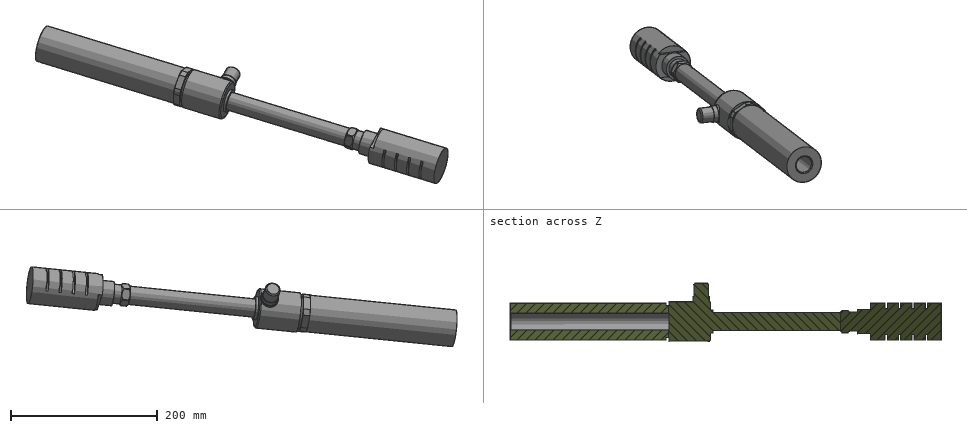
import cadquery as cq
import math

HEX_START = 203.0
HEX_END = 212.5
HOUSING_START = 216.0
HOUSING_END = 273.0
COLLAR_END = 277.0
ROD_END = 450.0
SWIVEL_START = 473.0
GRIP_START = 490.5
GRIP_END = 587.5

BARREL_DIAMETER = 50.5
BORE_DIAMETER = 22.5
BORE_MOUTH_DIAMETER = 25.0
BORE_CHAMFER_LENGTH = 1.0
HEX_WIDTH = BARREL_DIAMETER
NECK_DIAMETER = 44.0

HOUSING_DIAMETER = 54.0
HOUSING_CHAMFER = 2.0
COLLAR_DIAMETER = 32.0
ROD_DIAMETER = 25.0

OVERALL_DEPTH = 79.5
PORT_X = 260.0
PORT_DIAMETER = 20.5
PORT_TOP = OVERALL_DEPTH - HOUSING_DIAMETER / 2
PORT_CHAMFER = 2.0
PORT_RING_DIAMETER = 22.5
PORT_RING_TOP = 34.0
PORT_SEAT_DIAMETER = 24.0
PORT_SEAT_TOP = 27.5

NUT_WIDTH = 27.0
NUT_LENGTH = 12.5
NUT_END = ROD_END + NUT_LENGTH
NUT_CORNER_DIAMETER = 30.5
NUT_CHAMFER = 2.5
STEM_DIAMETER = 26.5
SWIVEL_DIAMETER = 33.5

GRIP_DIAMETER = BARREL_DIAMETER
FLAT_LENGTH = 5.0
FLAT_SPACING = 33.0
SLOT_COUNT = 4
FIRST_SLOT_X = 512.0
SLOT_PITCH = 18.0
SLOT_WIDTH = 3.0
SLOT_FLOOR_SPACING = 35.0


def cylinder(diameter, start, end):
    """A cylinder on the X axis between two stations."""
    return cq.Workplane("YZ", origin=(start, 0, 0)).circle(diameter / 2).extrude(end - start)


def hexagon(width, start, end):
    """A hexagonal prism on the X axis with two corners on the Y axis."""
    corner_diameter = width / math.cos(math.pi / 6)
    return cq.Workplane("YZ", origin=(start, 0, 0)).polygon(6, corner_diameter).extrude(end - start)


def make_barrel_hexagon():
    """A hexagon with flats facing +Y and -Y, its corners rounded to the housing diameter."""
    flats_on_y = hexagon(HEX_WIDTH, HEX_START, HEX_END).rotate((0, 0, 0), (1, 0, 0), 30)
    return flats_on_y.intersect(cylinder(HOUSING_DIAMETER, HEX_START, HEX_END))


def make_bore():
    """The bore through the barrel, with a chamfered mouth."""
    outline = [
        (0, 0),
        (0, BORE_MOUTH_DIAMETER / 2),
        (BORE_CHAMFER_LENGTH, BORE_DIAMETER / 2),
        (HOUSING_START, BORE_DIAMETER / 2),
        (HOUSING_START, 0),
    ]
    return cq.Workplane("XZ").polyline(outline).close().revolve(360, (0, 0, 0), (1, 0, 0))


def make_barrel():
    return (
        cylinder(BARREL_DIAMETER, 0, HEX_START)
        .union(make_barrel_hexagon())
        .union(cylinder(NECK_DIAMETER, HEX_END, HOUSING_START))
        .cut(make_bore())
    )


def make_port():
    """The stepped side port, reaching from the housing axis toward +Y."""
    base = cq.Workplane("XZ", origin=(PORT_X, 0, 0))
    seat = base.circle(PORT_SEAT_DIAMETER / 2).extrude(-PORT_SEAT_TOP)
    ring = base.circle(PORT_RING_DIAMETER / 2).extrude(-PORT_RING_TOP)
    tube = base.circle(PORT_DIAMETER / 2).extrude(-PORT_TOP).faces(">Y").chamfer(PORT_CHAMFER)
    return seat.union(ring).union(tube)


def make_housing():
    shell = cylinder(HOUSING_DIAMETER, HOUSING_START, HOUSING_END).faces(">X").chamfer(HOUSING_CHAMFER)
    return (
        shell.union(make_port())
        .union(cylinder(COLLAR_DIAMETER, HOUSING_END, COLLAR_END))
        .union(cylinder(ROD_DIAMETER, COLLAR_END, ROD_END))
    )


def make_nut():
    """A hexagon whose corners are bevelled at both ends."""
    bevel = cylinder(NUT_CORNER_DIAMETER, ROD_END, NUT_END).faces("<X or >X").chamfer(NUT_CHAMFER)
    return hexagon(NUT_WIDTH, ROD_END, NUT_END).intersect(bevel)


def cut_flats(grip):
    """Cut two flats, facing +Z and -Z, on the end of the grip next to the swivel."""
    cutter = cq.Workplane("XY").box(FLAT_LENGTH, GRIP_DIAMETER, GRIP_DIAMETER)
    x = GRIP_START + FLAT_LENGTH / 2
    offset = (FLAT_SPACING + GRIP_DIAMETER) / 2
    for side in (1, -1):
        grip = grip.cut(cutter.translate((x, 0, side * offset)))
    return grip


def cut_slots(grip):
    """Cut a row of straight slots with flat floors on the +Y and -Y sides."""
    cutter = cq.Workplane("XY").box(SLOT_WIDTH, GRIP_DIAMETER, GRIP_DIAMETER)
    offset = (SLOT_FLOOR_SPACING + GRIP_DIAMETER) / 2
    for index in range(SLOT_COUNT):
        x = FIRST_SLOT_X + index * SLOT_PITCH
        for side in (1, -1):
            grip = grip.cut(cutter.translate((x, side * offset, 0)))
    return grip


def make_coupling():
    grip = cut_slots(cut_flats(cylinder(GRIP_DIAMETER, GRIP_START, GRIP_END)))
    return (
        make_nut()
        .union(cylinder(STEM_DIAMETER, NUT_END, SWIVEL_START))
        .union(cylinder(SWIVEL_DIAMETER, SWIVEL_START, GRIP_START))
        .union(grip)
    )


barrel = make_barrel()
housing = make_housing()
coupling = make_coupling()

result = cq.Compound.makeCompound([barrel.val(), housing.val(), coupling.val()])